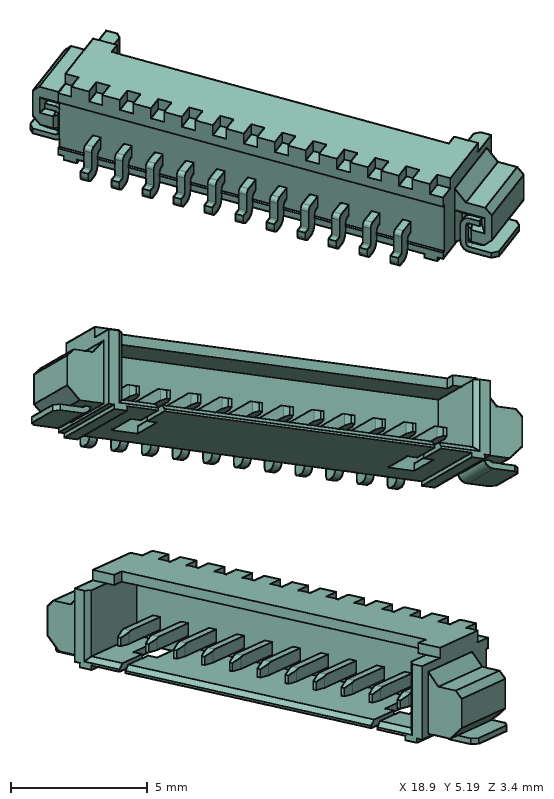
import cadquery as cq
import math


total_length = 18.9
total_height = 3.4
bevel_angle = 45
pin_count = 11
row_length = 12.5
row_half = row_length / 2
pitch = row_length / (pin_count - 1)

notch_width = 0.53
notch_depth = 0.65
notch_height = 0.45
body_half = row_half + pitch + notch_width / 2
body_depth = 4.21
body_bottom = 0.17
front_recess = 0.11
recess_bottom = 0.45
recess_top = 2.53
foot_width = 0.53
foot_inset = 0.23

cavity_floor = 0.45
cavity_ceiling = 3.0
cavity_front = 1.13
side_wall = 0.62
mouth_chamfer = 0.19
arm_length = 1.15
roof_cutback = 1.63
roof_corner = 0.96
slot_width = 0.26
slot_length = 1.45
window_width = 1.05

pin_width = 0.32
pin_top = 1.38
pin_bottom = 0.89
tail_reach = 0.98
bend_outer = 0.68
bend_inner = 0.17
toe_height = 0.45
tail_bend = 0.17
heel_radius = 0.32
toe_radius = 0.25
toe_root_radius = 0.04
tip_back = 0.68
tip_shoulder = 1.05
tip_slope_start = 1.21
tip_width = 0.13
tip_drop = 0.17

ear_back = 0.4
ear_depth = 2.8
ear_front = body_depth - ear_back - ear_depth
ear_reach = 1.5
ear_root_top = 2.68
ear_top = 2.2
ear_root_run = 0.45
ear_top_chamfer = 0.26
ear_bottom_chamfer = 0.51
ear_bottom = 0.28
clip_thickness = 0.23
clip_gap = 0.23
clip_arm_end = 1.0
clip_top = 1.51
clip_back = 1.0
clip_foot_chamfer = 0.2
clip_bend = 0.38
clip_inner_bend = 0.15
beak_gap = 0.05
bevel_size = 0.2


def block(x0, x1, y0, y1, z0, z1):
    return cq.Workplane("XY").box(x1 - x0, y1 - y0, z1 - z0, centered=False).translate((x0, y0, z0))


def rounded_outline(plane, corners):
    """Closed outline through (u, v, radius) corners, each rounded by its own radius."""
    sketch = cq.Workplane(plane)
    started = False
    for index, (u, v, radius) in enumerate(corners):
        here = cq.Vector(u, v)
        to_last = (cq.Vector(*corners[index - 1][:2]) - here).normalized()
        to_next = (cq.Vector(*corners[(index + 1) % len(corners)][:2]) - here).normalized()
        half_angle = to_last.getAngle(to_next) / 2
        setback = radius / math.tan(half_angle)
        start = here + to_last * setback
        middle = here + (to_last + to_next).normalized() * (radius / math.sin(half_angle) - radius)
        end = here + to_next * setback
        sketch = sketch.lineTo(start.x, start.y) if started else sketch.moveTo(start.x, start.y)
        started = True
        if radius:
            sketch = sketch.threePointArc((middle.x, middle.y), (end.x, end.y))
    return sketch.close()


def mirrored_pair(right_half):
    return right_half.union(right_half.mirror("YZ"))


def housing():
    body = block(-body_half, body_half, 0, body_depth, body_bottom, total_height)
    body = body.cut(block(-body_half, body_half, 0, front_recess, recess_bottom, recess_top))
    foot_end = body_half - foot_inset
    foot = block(foot_end - foot_width, foot_end, 0, body_depth, 0, body_bottom)
    body = body.union(mirrored_pair(foot))
    for index in range(pin_count + 2):
        x = -row_half - pitch + index * pitch
        body = body.cut(block(x - notch_width / 2, x + notch_width / 2, 0, notch_depth,
                              total_height - notch_height, total_height))
    return body


def cavity():
    half = body_half - side_wall
    opening = block(-half, half, cavity_front, body_depth, cavity_floor, cavity_ceiling)
    flare = (
        cq.Workplane("XZ", origin=(0, body_depth, 0))
        .center(0, (cavity_floor + cavity_ceiling) / 2)
        .rect(2 * (half + mouth_chamfer), cavity_ceiling - cavity_floor + 2 * mouth_chamfer)
        .extrude(mouth_chamfer, taper=bevel_angle)
    )
    above_arms = block(-body_half, body_half, body_depth - arm_length, body_depth,
                       cavity_ceiling, total_height)
    roof_half = body_half - roof_corner
    roof_gap = block(-roof_half, roof_half, body_depth - roof_cutback, body_depth,
                     cavity_ceiling, total_height)
    slot_x = row_half - pitch / 2
    slot = block(slot_x - slot_width / 2, slot_x + slot_width / 2,
                 body_depth - slot_length, body_depth, body_bottom, cavity_floor)
    window = block(slot_x - window_width / 2, slot_x + window_width / 2,
                   cavity_front, body_depth - slot_length, body_bottom, cavity_floor)
    return opening.union(flare).union(above_arms).union(roof_gap).union(mirrored_pair(slot.union(window)))


def contact():
    """One contact centred on X = 0: tapered pin, bent tail and soldering toe."""
    tip_y = body_depth - tip_back
    slope_y = body_depth - tip_slope_start
    side = rounded_outline("YZ", [
        (tip_y, pin_bottom, 0),
        (tip_y, pin_top - tip_drop, 0),
        (slope_y, pin_top, 0),
        (-bend_outer, pin_top, tail_bend),
        (-bend_outer, toe_height, toe_root_radius),
        (-tail_reach, toe_height, 0),
        (-tail_reach, 0, toe_radius),
        (-bend_inner, 0, heel_radius),
        (-bend_inner, pin_bottom, tail_bend),
    ]).extrude(pin_width / 2, both=True)
    shoulder_y = body_depth - tip_shoulder
    plan = (
        cq.Workplane("XY")
        .moveTo(-pin_width / 2, -tail_reach)
        .lineTo(pin_width / 2, -tail_reach)
        .lineTo(pin_width / 2, shoulder_y)
        .lineTo(tip_width / 2, tip_y)
        .lineTo(-tip_width / 2, tip_y)
        .lineTo(-pin_width / 2, shoulder_y)
        .close()
        .extrude(pin_top)
    )
    return side.intersect(plan)


def ear():
    """Hooked ear on the right end, with a bevelled clip slot in its front face."""
    x0 = body_half
    x1 = x0 + ear_reach
    hook = (
        cq.Workplane("XZ", origin=(0, ear_front, 0))
        .polyline([
            (x0, ear_bottom),
            (x0, ear_root_top),
            (x0 + ear_root_run, ear_top),
            (x1 - ear_top_chamfer, ear_top),
            (x1, ear_top - ear_top_chamfer),
            (x1, ear_bottom + ear_bottom_chamfer),
            (x1 - ear_bottom_chamfer, ear_bottom),
        ])
        .close()
        .extrude(-ear_depth)
    )
    slot_right = x0 + clip_arm_end + bevel_size
    beak_left = x0 + clip_gap + clip_thickness + bevel_size
    beak_top = clip_top - clip_thickness - beak_gap - bevel_size
    beak_bottom = ear_bottom + bevel_size
    clearance = 2 * bevel_size
    bevel = (
        cq.Workplane("XZ", origin=(0, ear_front, 0))
        .polyline([
            (x0, ear_bottom - clearance),
            (x0, clip_top + bevel_size),
            (slot_right, clip_top + bevel_size),
            (slot_right, beak_top),
            (beak_left, beak_top),
            (beak_left, beak_bottom),
            (x1 + clearance, beak_bottom),
            (x1 + clearance, ear_bottom - clearance),
        ])
        .close()
        .extrude(-bevel_size, taper=bevel_angle)
    )
    return hook.cut(bevel)


def clip():
    """Bent solder clip of the right ear; its foot lies on the board."""
    left = body_half + clip_gap
    right = left + clip_thickness
    arm_end = body_half + clip_arm_end
    foot_end = total_length / 2
    strip = rounded_outline("XZ", [
        (arm_end, clip_top, 0),
        (left, clip_top, clip_bend),
        (left, 0, clip_bend),
        (foot_end, 0, 0),
        (foot_end, clip_thickness, 0),
        (right, clip_thickness, clip_inner_bend),
        (right, clip_top - clip_thickness, clip_inner_bend),
        (arm_end, clip_top - clip_thickness, 0),
    ]).extrude(-(body_depth - clip_back - ear_front)).translate((0, ear_front, 0))
    return strip.edges("|Z and >X").chamfer(clip_foot_chamfer)


result = housing().cut(cavity())
single_contact = contact()
for pin_index in range(pin_count):
    result = result.union(single_contact.translate((-row_half + pin_index * pitch, 0, 0)))
result = result.union(mirrored_pair(ear().union(clip())))